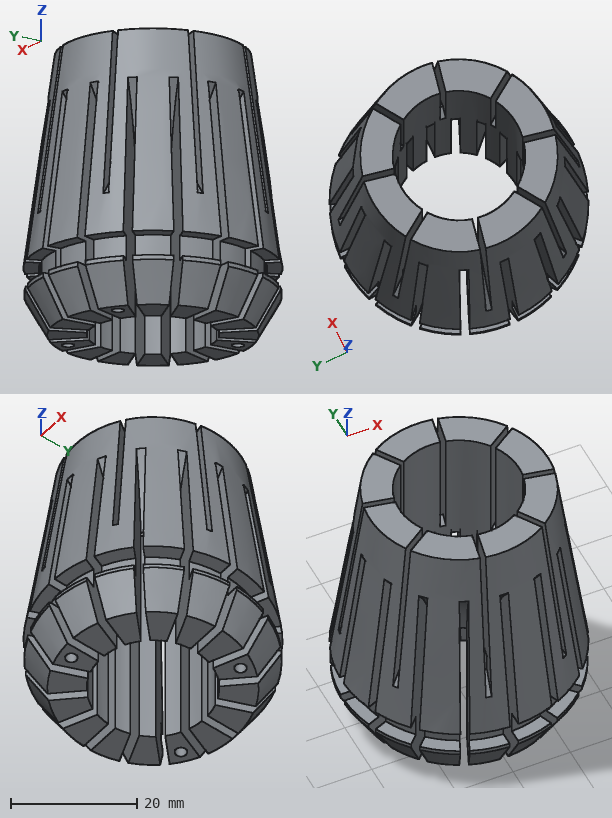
import cadquery as cq
import math

length = 46.0
body_radius = 20.5
body_taper = 8.0
bore_radius = 10.5
nose_angle = 30.0
rim_radius = 20.4
rim_bottom = 6.35
groove_bottom = 7.1
groove_top = 11.1
groove_radius = 18.1

saw_radius = 30.0
clearance = 4.6

wide_count = 16
wide_width = 1.45
wide_saw_distance = 39.75
wide_saw_height = 18.35
wide_arc_bottom = 23.0
wide_arc_top = 40.5

narrow_count = 8
narrow_width = 0.9
narrow_saw_distance = 39.1
narrow_saw_height = 40.75
narrow_arc_bottom = 16.55
ridge_height = 27.35
ridge_slope = 23.0
narrow_start = 1.5 * 360.0 / wide_count
narrow_pitch = 360.0 / narrow_count

hole_diameter = 2.0
hole_top = 24.15
hole_top_radius = 15.6
hole_lean = 2.5
hole_slots = (0, 2, 5)


def taper_radius(height):
    """Radius of the long outer taper at a height."""
    return body_radius - (height - groove_top) * math.tan(math.radians(body_taper))


def saw_point(distance, centre_height, height):
    """Point at a height on the axis-facing side of a saw disc centred at (distance, centre_height)."""
    return distance - math.sqrt(saw_radius**2 - (height - centre_height) ** 2), height


def saw_slot(width, distance, centre_height, arc_start, arc_end, inner_height, open_height):
    """Slot cutter along +X: a saw arc, a straight run inwards, and an open end."""
    near = bore_radius - clearance
    far = body_radius + clearance
    start = saw_point(distance, centre_height, arc_start)
    middle = saw_point(distance, centre_height, (arc_start + arc_end) / 2)
    end = saw_point(distance, centre_height, arc_end)
    return (
        cq.Workplane("XZ")
        .moveTo(*start)
        .threePointArc(middle, end)
        .lineTo(near, inner_height)
        .lineTo(near, open_height)
        .lineTo(far, open_height)
        .lineTo(far, arc_start)
        .close()
        .extrude(width / 2, both=True)
    )


def make_body():
    nose_radius = rim_radius - rim_bottom * math.tan(math.radians(nose_angle))
    outline = [
        (bore_radius, 0),
        (nose_radius, 0),
        (rim_radius, rim_bottom),
        (rim_radius, groove_bottom),
        (groove_radius, groove_bottom),
        (groove_radius, groove_top),
        (body_radius, groove_top),
        (taper_radius(length), length),
        (bore_radius, length),
    ]
    return cq.Workplane("XZ").polyline(outline).close().revolve(360, (0, 0), (0, 1))


def make_wide_slot():
    """Slot whose ceiling falls along the saw arc from the taper to the bore."""
    return saw_slot(
        wide_width,
        wide_saw_distance,
        wide_saw_height,
        wide_arc_top,
        wide_arc_bottom,
        wide_arc_bottom,
        -clearance,
    )


def make_narrow_slot():
    """Slot whose floor rises along the saw arc from the taper to a ridge near the bore."""
    ridge_radius = saw_point(narrow_saw_distance, narrow_saw_height, ridge_height)[0]
    inner_run = ridge_radius - bore_radius + clearance
    inner_height = ridge_height - inner_run * math.tan(math.radians(ridge_slope))
    return saw_slot(
        narrow_width,
        narrow_saw_distance,
        narrow_saw_height,
        narrow_arc_bottom,
        ridge_height,
        inner_height,
        length + clearance,
    )


def make_hole():
    """Drill in the XZ plane, sloping down and towards the axis from its top centre."""
    lean = math.radians(hole_lean)
    drilled = (hole_top + clearance) / math.cos(lean)
    direction = cq.Vector(-math.sin(lean), 0, -math.cos(lean))
    top = cq.Vector(hole_top_radius, 0, hole_top)
    return cq.Workplane(cq.Solid.makeCylinder(hole_diameter / 2, drilled, top, direction))


def turned(shape, angle):
    """Shape turned about the collet axis."""
    return shape.rotate((0, 0, 0), (0, 0, 1), angle)


result = make_body()

wide_slot = make_wide_slot()
for index in range(wide_count):
    result = result.cut(turned(wide_slot, index * 360.0 / wide_count))

narrow_slot = make_narrow_slot()
for index in range(narrow_count):
    result = result.cut(turned(narrow_slot, narrow_start + index * narrow_pitch))

hole = make_hole()
for index in hole_slots:
    result = result.cut(turned(hole, narrow_start + index * narrow_pitch))